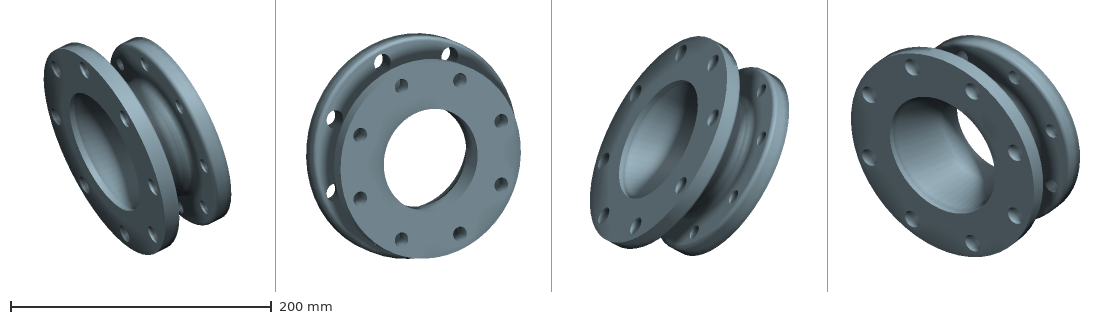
import cadquery as cq

length = 60.0
flange_thickness = 14.1
flange_round = 3.1
hole_count = 8

large_flange_radius = 87.0
large_bore_radius = 50.0
large_bolt_circle_radius = 75.0
large_hole_diameter = 14.1

small_flange_radius = 76.9
small_bore_radius = 40.0
small_bolt_circle_radius = 65.0
small_hole_diameter = 11.5

axis_offset = large_bore_radius - small_bore_radius

taper_start = 5.0
taper_end = 40.0
taper_wall = 6.6
neck_radius = 48.0
blend_start = 35.7
neck_fillet = 4.5
large_fillet = 7.0


def circle_at(y, radius, x):
    """Circular wire normal to Y, centred on Z = 0."""
    return cq.Wire.makeCircle(radius, cq.Vector(x, y, 0), cq.Vector(0, 1, 0))


def frustum(start, end):
    """Ruled solid between two circles given as (y, radius, x)."""
    return cq.Workplane(cq.Solid.makeLoft([circle_at(*start), circle_at(*end)], True))


def cylinder(y, height, radius, x):
    return cq.Workplane(cq.Solid.makeCylinder(radius, height, cq.Vector(x, y, 0), cq.Vector(0, 1, 0)))


def taper_section(y, wall):
    """Section of the eccentric taper at y, thickened by wall."""
    fraction = (y - taper_start) / (taper_end - taper_start)
    radius = large_bore_radius + fraction * (small_bore_radius - large_bore_radius)
    return y, radius + wall, fraction * axis_offset


def bolt_holes(y, circle_radius, diameter, x):
    """Ring of through holes straddling the X and Z axes of a flange."""
    return (
        cq.Workplane("XZ", origin=(x, y, 0))
        .polarArray(circle_radius, 180 / hole_count, 360, hole_count)
        .circle(diameter / 2)
        .extrude(-flange_thickness)
    )


def root_edge(y, reach):
    """Box selector for the pipe's root circle in the plane Y = y."""
    margin = 0.2
    return cq.selectors.BoxSelector(
        (-reach, y - margin, -reach), (reach, y + margin, reach), boundingbox=True
    )


small_flange_face = length - flange_thickness
large_flange = cylinder(0, flange_thickness, large_flange_radius, 0).edges(">Y").fillet(flange_round)
small_flange = cylinder(small_flange_face, flange_thickness, small_flange_radius, axis_offset)
small_flange = small_flange.edges("<Y").fillet(flange_round)

blend_section = taper_section(blend_start, taper_wall)
neck_section = (taper_end, neck_radius, axis_offset)
body = (
    large_flange
    .union(frustum(taper_section(taper_start, taper_wall), blend_section))
    .union(frustum(blend_section, neck_section))
    .union(cylinder(taper_end, length - taper_end, neck_radius, axis_offset))
    .union(small_flange)
)

largest_root_radius = large_bore_radius + 2 * taper_wall
body = body.edges(root_edge(flange_thickness, largest_root_radius)).fillet(large_fillet)
body = body.edges(root_edge(small_flange_face, largest_root_radius)).fillet(neck_fillet)

body = (
    body
    .cut(cylinder(0, taper_start, large_bore_radius, 0))
    .cut(frustum(taper_section(taper_start, 0), taper_section(taper_end, 0)))
    .cut(cylinder(taper_end, length - taper_end, small_bore_radius, axis_offset))
)

result = (
    body
    .cut(bolt_holes(0, large_bolt_circle_radius, large_hole_diameter, 0))
    .cut(bolt_holes(small_flange_face, small_bolt_circle_radius, small_hole_diameter, axis_offset))
)